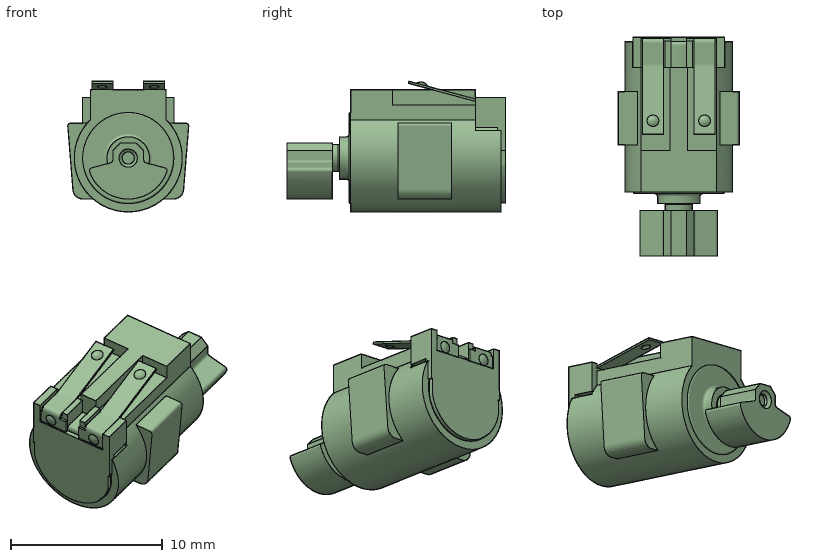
import cadquery as cq
import math


can_radius = 3.0
can_front = -0.1
can_rear = 9.9
can_front_round = 0.1
can_rear_round = 0.25
bearing_radius = 1.4
bearing_root_round = 0.2
bearing_front = -0.75
boss_radius = 0.9
boss_front = -0.82

shaft_radius = 0.4
weight_length = 3.0
weight_rear = -1.2
weight_front = weight_rear - weight_length
shaft_recess = 0.4
countersink_depth = 0.2
weight_radius = 2.7
weight_drop_angle = 15.0
weight_corner_round = 0.2
neck_half_width = 1.02
neck_top = 1.0
neck_chamfer = 0.51

boot_radius = 3.55
block_width = 5.0
block_top = 4.5
recess_front = 2.74
recess_floor = 3.5
spine_width = 1.17
wing_front = 3.12
wing_length = 3.5
wing_top = 2.3
wing_bottom = -2.7
wing_top_half_width = 4.0
wing_bottom_half_width = 3.6
wing_top_round = 0.2
wing_bottom_round = 0.68

cap_front = 8.2
cap_rear = 10.2
cap_plate_radius = 2.97
cap_half_width = 3.02
cap_top = 4.0
cap_wall_bottom = 2.02
cap_block_foot = 0.5
cap_flat_half_height = 0.5
cap_slot_width = 1.0
cap_step_height = 2.6
notch_half_width = 3.05
notch_floor = 1.8
channel_inner = 0.9
channel_outer = block_width / 2

terminal_center = 1.7
terminal_width = 1.4
terminal_thickness = 0.15
terminal_top = 3.85
terminal_rear = 10.1
terminal_tip = 3.83
terminal_kink = 8.35
terminal_angle = 15.0
terminal_rear_bend = 0.3
terminal_kink_bend = 0.45
shoulder_top = 3.5
contact_y = 4.7
contact_radius = 0.39
contact_height = 0.17


def box(x0, x1, y0, y1, z0, z1):
    """Axis-aligned box between opposite corners."""
    return cq.Workplane("XY").box(x1 - x0, y1 - y0, z1 - z0, centered=False).translate((x0, y0, z0))


def cylinder(radius, y0, y1):
    """Cylinder on the motor axis from y0 to y1."""
    return cq.Workplane("XZ", origin=(0, y1, 0)).circle(radius).extrude(y1 - y0)


def make_can():
    profile = (
        cq.Workplane("XY")
        .moveTo(0, can_rear)
        .lineTo(can_radius - can_rear_round, can_rear)
        .radiusArc((can_radius, can_rear - can_rear_round), can_rear_round)
        .lineTo(can_radius, can_front + can_front_round)
        .radiusArc((can_radius - can_front_round, can_front), can_front_round)
        .lineTo(bearing_radius + bearing_root_round, can_front)
        .radiusArc((bearing_radius, can_front - bearing_root_round), -bearing_root_round)
        .lineTo(bearing_radius, bearing_front)
        .lineTo(boss_radius, bearing_front)
        .lineTo(boss_radius, boss_front)
        .lineTo(0, boss_front)
        .close()
    )
    return profile.revolve(360, (0, 0), (0, 1))


def make_wings():
    """Tapered pads on both sides, drawn as one block through the boot."""
    return (
        cq.Workplane("XZ", origin=(0, wing_front + wing_length, 0))
        .polyline([
            (-wing_top_half_width, wing_top),
            (wing_top_half_width, wing_top),
            (wing_bottom_half_width, wing_bottom),
            (-wing_bottom_half_width, wing_bottom),
        ])
        .close()
        .extrude(wing_length)
        .edges("|Y and >Z").fillet(wing_top_round)
        .edges("|Y and <Z").fillet(wing_bottom_round)
    )


def make_boot():
    boot = cylinder(boot_radius, 0, can_rear)
    boot = boot.union(box(-block_width / 2, block_width / 2, 0, cap_front, 0, block_top))
    boot = boot.union(make_wings())
    boot = boot.cut(cylinder(can_radius, 0, can_rear))
    boot = boot.cut(box(-notch_half_width, notch_half_width, cap_front, can_rear, notch_floor, block_top))
    recess = box(spine_width / 2, block_width / 2, recess_front, cap_front, recess_floor, block_top)
    return boot.cut(recess).cut(recess.mirror("YZ"))


def make_cap(can):
    flat_half_width = math.sqrt(cap_plate_radius ** 2 - cap_flat_half_height ** 2)
    plate = cylinder(cap_plate_radius, can_rear, cap_rear).intersect(
        box(-flat_half_width, flat_half_width, can_rear, cap_rear, -can_radius, can_radius)
    )
    plate = plate.union(
        box(-cap_half_width, cap_half_width, can_rear, cap_rear, cap_block_foot, cap_top)
    )
    block = box(-cap_half_width, cap_half_width, cap_front, cap_rear, cap_wall_bottom, cap_top)
    lip_front = can_rear - can_rear_round
    lip = box(-cap_half_width, cap_half_width, lip_front, can_rear, notch_floor, cap_top)
    cap = plate.union(block).union(lip).cut(can)
    half_slot = cap_slot_width / 2
    cap = cap.cut(box(-half_slot, half_slot, cap_front, cap_rear, cap_step_height, cap_top))
    channel = box(channel_inner, channel_outer, cap_front, cap_rear, terminal_top - terminal_thickness, cap_top)
    leg_front = terminal_rear - terminal_thickness
    pocket = box(half_slot, channel_outer, leg_front, cap_rear, cap_step_height, cap_top)
    cutter = channel.union(pocket)
    return cap.cut(cutter).cut(cutter.mirror("YZ"))


def dome_sphere_radius(height):
    """Radius of the sphere whose cap has the dome's base radius and this height."""
    return (contact_radius ** 2 + height ** 2) / (2 * height)


def place_dome(body, y, z, tilt):
    """Tilt a body about X and move it to the terminal centre line."""
    return body.rotate((0, 0, 0), (1, 0, 0), tilt).translate((terminal_center, y, z))


def make_dome(height):
    """Spherical cap on Z = 0, rooted halfway into the strip."""
    radius = dome_sphere_radius(height)
    base = cq.Workplane("XY", origin=(0, 0, -terminal_thickness / 2))
    root = base.circle(contact_radius).extrude(terminal_thickness / 2 + height)
    return cq.Workplane("XY").sphere(radius).translate((0, 0, height - radius)).intersect(root)


def make_dimple(height):
    """Hollow under a dome, concentric with it and one strip thickness smaller."""
    radius = dome_sphere_radius(height)
    return cq.Workplane("XY").sphere(radius - terminal_thickness).translate((0, 0, height - radius))


def make_terminal():
    """Bent strip on the +X side: rear leg, flat in the cap and rising spring arm."""
    slope = math.radians(terminal_angle)
    arm_rise = (terminal_kink - terminal_tip) * math.tan(slope)
    tip = (terminal_tip, terminal_top + arm_rise)
    tip_under = (
        tip[0] - terminal_thickness * math.sin(slope),
        tip[1] - terminal_thickness * math.cos(slope),
    )
    under = terminal_top - terminal_thickness
    leg_front = terminal_rear - terminal_thickness
    kink_under = terminal_kink - terminal_thickness * math.tan(slope / 2)
    left = terminal_center - terminal_width / 2
    strip = (
        cq.Workplane("YZ", origin=(left, 0, 0))
        .polyline([
            (terminal_rear, cap_step_height),
            (terminal_rear, terminal_top),
            (terminal_kink, terminal_top),
            tip,
            tip_under,
            (kink_under, under),
            (leg_front, under),
            (leg_front, cap_step_height),
        ])
        .close()
        .extrude(terminal_width)
    )

    def bend(body, y, z, radius):
        return body.edges(cq.selectors.NearestToPointSelector((terminal_center, y, z))).fillet(radius)

    strip = bend(strip, terminal_rear, terminal_top, terminal_rear_bend)
    strip = bend(strip, terminal_kink, terminal_top, terminal_kink_bend)
    strip = bend(strip, kink_under, under, terminal_kink_bend + terminal_thickness)
    foot = box(cap_slot_width / 2, channel_outer, leg_front, terminal_rear, cap_step_height, shoulder_top)
    strip = strip.union(foot)
    contact_z = terminal_top + (terminal_kink - contact_y) * math.tan(slope)
    strip = strip.union(place_dome(make_dome(contact_height), contact_y, contact_z, -terminal_angle))
    strip = strip.cut(place_dome(make_dimple(contact_height), contact_y, contact_z, -terminal_angle))
    leg_dome = make_dome(cap_rear - terminal_rear)
    return strip.union(place_dome(leg_dome, terminal_rear, (cap_step_height + shoulder_top) / 2, -90))


def make_weight():
    """Eccentric weight: narrow neck around the shaft and a sector hanging below it."""
    drop = math.radians(weight_drop_angle)
    neck_foot = -neck_half_width * math.tan(drop)
    tip_x = weight_radius * math.cos(drop)
    tip_z = -weight_radius * math.sin(drop)
    shoulder = neck_half_width - neck_chamfer
    body = (
        cq.Workplane("XZ", origin=(0, weight_rear, 0))
        .moveTo(-shoulder, neck_top)
        .lineTo(shoulder, neck_top)
        .lineTo(neck_half_width, neck_top - neck_chamfer)
        .lineTo(neck_half_width, neck_foot)
        .lineTo(tip_x, tip_z)
        .threePointArc((0, -weight_radius), (-tip_x, tip_z))
        .lineTo(-neck_half_width, neck_foot)
        .lineTo(-neck_half_width, neck_top - neck_chamfer)
        .close()
        .extrude(weight_length)
    )
    for x, z in ((neck_half_width, neck_foot), (tip_x, tip_z)):
        for side in (-1, 1):
            corner = cq.selectors.NearestToPointSelector((side * x, (weight_rear + weight_front) / 2, z))
            body = body.edges(corner).fillet(weight_corner_round)
    countersunk_bore = (
        cq.Workplane("XY")
        .polyline([
            (0, weight_front),
            (shaft_radius + countersink_depth, weight_front),
            (shaft_radius, weight_front + countersink_depth),
            (shaft_radius, weight_rear),
            (0, weight_rear),
        ])
        .close()
        .revolve(360, (0, 0), (0, 1))
    )
    return body.cut(countersunk_bore)


shaft = cylinder(shaft_radius, weight_front + shaft_recess, can_rear)
solid_can = make_can()
can = solid_can.cut(shaft)
boot = make_boot()
cap = make_cap(solid_can)
washer = cylinder(boss_radius, weight_rear, boss_front).cut(shaft)
weight = make_weight()
right_terminal = make_terminal()
terminals = [right_terminal, right_terminal.mirror("YZ")]

result = cq.Compound.makeCompound([
    boot.val(),
    can.val(),
    cap.val(),
    *[terminal.val() for terminal in terminals],
    washer.val(),
    shaft.val(),
    weight.val(),
])